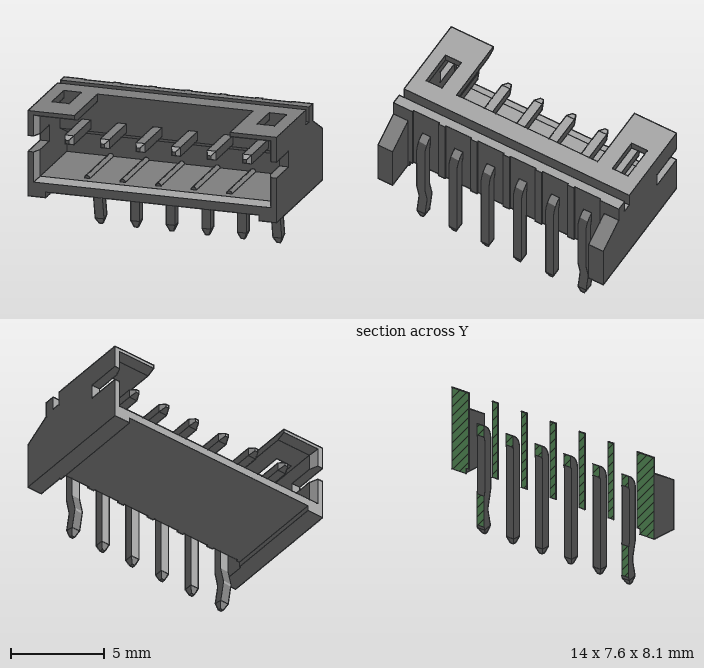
import cadquery as cq
import math


width = 14.0
height = 4.8
depth = 7.6
back_face = 5.99
arm_width = 0.91
arm_shoulder = 3.84
arm_rear_height = 2.91
foot_width = 1.0
foot_height = 0.32

groove_front = 4.9
groove_width = 0.49
groove_depth = 0.84

side_wall = 0.52
top_wall = 0.42
floor_height = 1.01
cavity_depth = 3.81
lead_in = 0.2
lead_in_depth = 0.5
undercut_top = 2.66
undercut_bottom = 2.14
undercut_depth = 1.09

top_slot_width = 8.76
window_offset = 0.73
window_width = 0.98
window_length = 2.0
side_slot_depth = 2.0
side_slot_bottom = 2.5
side_slot_top = 3.4

pin_count = 6
pitch = 2.0
pin_size = 0.5
pin_height = 3.05
tip_size = 0.2
tip_length = 0.39
contact_end = 0.6
leg_end = -3.28
bend_inner_radius = 0.5

kink_start = -0.73
kink_reach = 0.21
crest_top = -1.61
crest_bottom = -2.02
crest_rise = 0.03
kink_tilt = math.radians(12)
tail_length = 0.95

rib_radius = 0.15
rib_front = 0.97
relief_depth = 0.1
relief_width = 11.63
spacer_width = 0.4

pin_positions = [(i - (pin_count - 1) / 2) * pitch for i in range(pin_count)]
gap_positions = [x + pitch / 2 for x in pin_positions[:-1]]
leg_front = back_face
leg_back = leg_front + pin_size
leg_top = pin_height - pin_size / 2 - bend_inner_radius


def block(x_range, y_range, z_range):
    """Box given by its limits along each axis."""
    (x0, x1), (y0, y1), (z0, z1) = x_range, y_range, z_range
    return cq.Workplane("XY").box(x1 - x0, y1 - y0, z1 - z0, centered=False).translate((x0, y0, z0))


def centred(size, middle=0.0):
    """Limits of a span of the given size about its middle."""
    return (middle - size / 2, middle + size / 2)


def side_profile(points, thickness):
    """Polygon in the YZ plane, extruded symmetrically about X = 0."""
    return cq.Workplane("YZ").polyline(points).close().extrude(thickness / 2, both=True)


def make_housing():
    """Solid housing with sloped arms, feet and the groove across the top."""
    body = side_profile(
        [
            (0, 0),
            (depth, 0),
            (depth, arm_rear_height),
            (back_face, arm_shoulder),
            (back_face, height),
            (0, height),
        ],
        width,
    )
    between_arms = block(centred(width - 2 * arm_width), (back_face, depth), (0, height))
    between_feet = block(centred(width - 2 * foot_width), (0, depth), (0, foot_height))
    groove = block(
        centred(width),
        (groove_front, groove_front + groove_width),
        (height - groove_depth, height),
    )
    return body.cut(between_arms).cut(between_feet).cut(groove)


def make_cavity():
    """Mating cavity with its flared mouth and the undercut of its end wall."""
    cavity_width = width - 2 * side_wall
    cavity_top = height - top_wall
    cavity_height = cavity_top - floor_height
    cavity = side_profile(
        [
            (0, floor_height),
            (cavity_depth + undercut_depth, floor_height),
            (cavity_depth + undercut_depth, undercut_bottom),
            (cavity_depth, undercut_top),
            (cavity_depth, cavity_top),
            (0, cavity_top),
        ],
        cavity_width,
    )
    flare = (
        cq.Workplane("XZ", origin=(0, 0, floor_height + cavity_height / 2))
        .rect(cavity_width + 2 * lead_in, cavity_height + 2 * lead_in)
        .workplane(offset=-lead_in_depth)
        .rect(cavity_width, cavity_height)
        .loft()
    )
    return cavity.union(flare)


def make_shroud_openings():
    """Open slot and two windows in the top wall, and a slot in both side walls."""
    top_z = (height - 2 * top_wall, height)
    openings = block(centred(top_slot_width), (0, cavity_depth), top_z)
    window_middle = width / 2 - window_offset - window_width / 2
    for side in (-1, 1):
        window = block(
            centred(window_width, side * window_middle),
            (cavity_depth - window_length, cavity_depth),
            top_z,
        )
        openings = openings.union(window)
    side_slots = block(centred(width), (0, side_slot_depth), (side_slot_bottom, side_slot_top))
    return openings.union(side_slots)


def make_rear_relief():
    """Shallow recess in the rear wall, interrupted by a spacer in each pin gap."""
    rear_y = (back_face - relief_depth, back_face)
    relief = block(centred(relief_width), rear_y, (0, height))
    for x in gap_positions:
        relief = relief.cut(block(centred(spacer_width, x), rear_y, (0, height)))
    return relief


def make_ribs():
    """Half-round ribs along the cavity floor."""
    rib_length = cavity_depth + undercut_depth - rib_front
    return (
        cq.Workplane("XZ", origin=(0, rib_front, floor_height))
        .pushPoints([(x, 0) for x in gap_positions])
        .circle(rib_radius)
        .extrude(-rib_length)
    )


def make_tip():
    """Tapered pin tip pointing down, with the middle of its base at the origin."""
    return (
        cq.Workplane("XY")
        .rect(pin_size, pin_size)
        .workplane(offset=-tip_length)
        .rect(tip_size, tip_size)
        .loft()
    )


def make_contact():
    """Contact from its tip in the cavity, through the right-angle bend, to the top of the leg."""
    low = pin_height - pin_size / 2
    high = pin_height + pin_size / 2
    shaft_start = contact_end + tip_length
    bend_start = leg_front - bend_inner_radius
    bend_outer_radius = bend_inner_radius + pin_size
    outer_middle = bend_outer_radius * math.sqrt(0.5)
    inner_middle = bend_inner_radius * math.sqrt(0.5)
    shaft = (
        cq.Workplane("YZ")
        .moveTo(shaft_start, high)
        .lineTo(bend_start, high)
        .threePointArc((bend_start + outer_middle, leg_top + outer_middle), (leg_back, leg_top))
        .lineTo(leg_front, leg_top)
        .threePointArc((bend_start + inner_middle, leg_top + inner_middle), (bend_start, low))
        .lineTo(shaft_start, low)
        .close()
        .extrude(pin_size / 2, both=True)
    )
    tip = make_tip().rotate((0, 0, 0), (1, 0, 0), -90).translate((0, shaft_start, pin_height))
    return shaft.union(tip)


def make_straight_leg():
    """Straight leg going down from the contact."""
    tip_base = leg_end + tip_length
    shaft = block(centred(pin_size), (leg_front, leg_back), (tip_base, leg_top))
    return shaft.union(make_tip().translate((0, leg_front + pin_size / 2, tip_base)))


def make_kinked_leg():
    """Leg that bulges forwards to a rounded crest and then slants back to its tip."""
    crest_front = leg_front - kink_reach
    crest_back = crest_front + pin_size / math.cos(kink_tilt)
    crest_middle = (crest_top + crest_bottom) / 2
    tail_front = (
        crest_front + tail_length * math.sin(kink_tilt),
        crest_bottom - tail_length * math.cos(kink_tilt),
    )
    tail_back = (
        tail_front[0] + pin_size * math.cos(kink_tilt),
        tail_front[1] + pin_size * math.sin(kink_tilt),
    )
    shaft = (
        cq.Workplane("YZ")
        .moveTo(leg_front, leg_top)
        .lineTo(leg_front, kink_start)
        .lineTo(crest_front, crest_top)
        .threePointArc((crest_front - crest_rise, crest_middle), (crest_front, crest_bottom))
        .lineTo(*tail_front)
        .lineTo(*tail_back)
        .lineTo(crest_back, crest_bottom)
        .threePointArc((crest_back - crest_rise, crest_middle), (crest_back, crest_top))
        .lineTo(leg_back, kink_start)
        .lineTo(leg_back, leg_top)
        .close()
        .extrude(pin_size / 2, both=True)
    )
    tip_middle = ((tail_front[0] + tail_back[0]) / 2, (tail_front[1] + tail_back[1]) / 2)
    tip = make_tip().rotate((0, 0, 0), (1, 0, 0), math.degrees(kink_tilt))
    return shaft.union(tip.translate((0, *tip_middle)))


housing = make_housing().cut(make_cavity()).cut(make_shroud_openings()).cut(make_rear_relief())
result = housing.union(make_ribs())

inner_pin = make_contact().union(make_straight_leg())
outer_pin = make_contact().union(make_kinked_leg())
for x in pin_positions[1:-1]:
    result = result.union(inner_pin.translate((x, 0, 0)))
for x in (pin_positions[0], pin_positions[-1]):
    result = result.union(outer_pin.translate((x, 0, 0)))